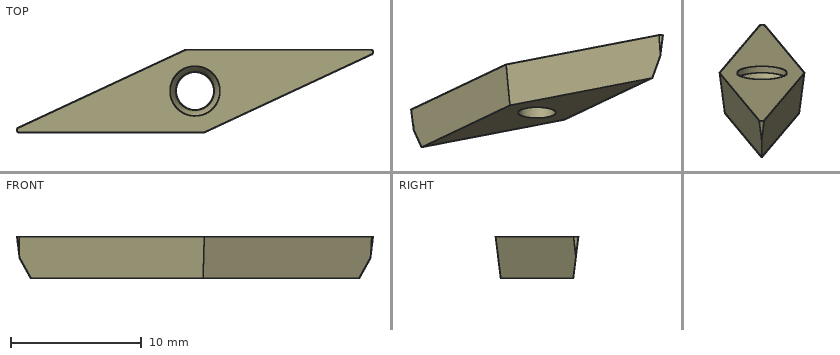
import cadquery as cq
import math

length = 27.25
width = 6.35
thickness = 3.2
nose_radius = 0.2
tip_angle = math.radians(25)
clearance_angle = math.radians(7)

mouth_diameter = 3.8
bore_diameter = 2.9
mouth_depth = 0.52
seat_bottom_depth = 1.88

half_width = width / 2
slope = math.tan(clearance_angle)
half_tip = tip_angle / 2
nose_depth = nose_radius / slope
nose_x = -length / 2 + nose_radius
nose_y = -half_width + nose_radius
corner_x = nose_x - nose_radius / math.tan(half_tip)
corner_overhang = width / math.tan(tip_angle)


def rhombus_at(depth):
    """Sharp-cornered rhombus moved inwards by the flank clearance at this depth."""
    inset = depth * slope
    y = half_width - inset
    tip_x = corner_x + inset / math.tan(half_tip)
    blunt_x = -corner_x - corner_overhang - inset * math.tan(half_tip)
    points = [(tip_x, -y), (blunt_x, -y), (-tip_x, y), (-blunt_x, y)]
    return cq.Workplane("XY").workplane(offset=-depth).polyline(points).close()


def sharp_body():
    top = rhombus_at(0).wire().val()
    bottom = rhombus_at(thickness).wire().val()
    return cq.Workplane(cq.Solid.makeLoft([top, bottom], True))


def tip_wedge():
    """Wedge at the -X tip, bounded by the nose axis and the tangent lines of the nose."""
    tangent_x = nose_x - nose_radius * math.sin(tip_angle)
    tangent_y = nose_y + nose_radius * math.cos(tip_angle)
    outline = [
        (nose_x, nose_y),
        (tangent_x, tangent_y),
        (corner_x, -half_width),
        (nose_x, -half_width),
    ]
    return cq.Workplane("XY").polyline(outline).close().extrude(-nose_depth)


def nose_cone():
    """Cone that rounds the -X tip, pointing down."""
    apex_radius = 0
    top_center = cq.Vector(nose_x, nose_y, 0)
    down = cq.Vector(0, 0, -1)
    return cq.Workplane(cq.Solid.makeCone(nose_radius, apex_radius, nose_depth, top_center, down))


def round_tips(body):
    """Swap the sharp wedge for the nose cone at both acute tips."""
    for turn in (0, 180):
        wedge = tip_wedge().rotate((0, 0, 0), (0, 0, 1), turn)
        cone = nose_cone().rotate((0, 0, 0), (0, 0, 1), turn)
        body = body.cut(wedge).union(cone)
    return body


def screw_hole():
    mouth_radius = mouth_diameter / 2
    bore_radius = bore_diameter / 2
    seat_height = seat_bottom_depth - mouth_depth
    return (
        cq.Workplane("XZ")
        .lineTo(0, -thickness)
        .lineTo(bore_radius, -thickness)
        .lineTo(bore_radius, -seat_bottom_depth)
        .tangentArcPoint((mouth_radius - bore_radius, seat_height))
        .lineTo(mouth_radius, 0)
        .close()
        .revolve(360, (0, 0), (0, 1))
    )


result = round_tips(sharp_body()).cut(screw_hole())